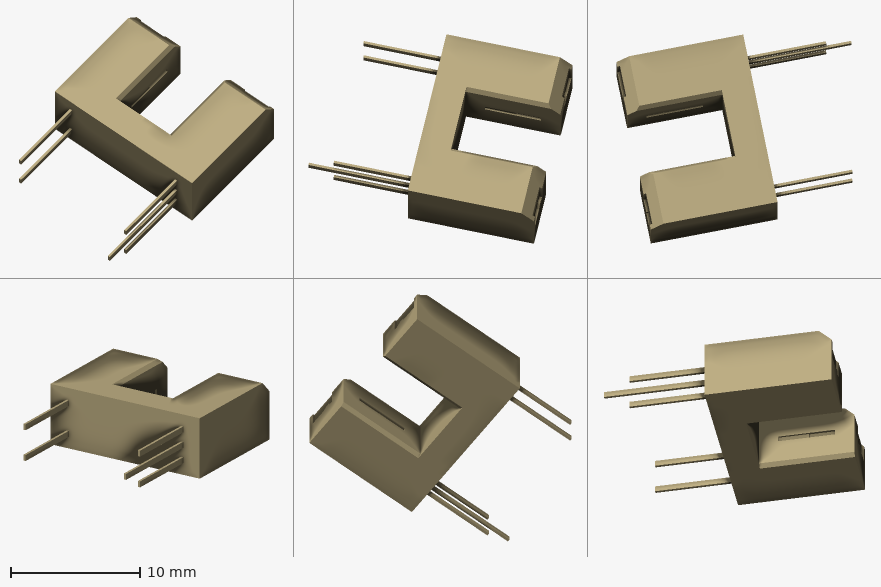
import cadquery as cq

overall_length = 18.2
body_width = 13.7
body_height = 5.0

long_pin_length = 8.2
body_length = overall_length - long_pin_length
gap_width = 5.0
gap_depth = 7.5
tip_chamfer = 1.0
gap_chamfer = 0.3
half_width = body_width / 2
half_gap = gap_width / 2
mid_height = body_height / 2

pin_thickness = 0.2
pin_height = 0.5
short_pin_length = 6.2
pin_span = 10.5
pin_pitch = 1.27
pin_root = 0.18

slit_height = 0.45
slit_tip_margin = 1.53
slit_length = gap_depth - 2 * slit_tip_margin
slit_depth = 0.13
slit_deep_length = 2.05
slit_deep_depth = 0.18

recess_width = 2.48
recess_depth = 0.2
recess_outer_margin = 0.4
recess_floor_z = mid_height
bump_offset = 1.38
bump_width = 0.75
bump_flat_width = 0.36
bump_height = 0.25


def make_housing():
    """U-shaped block with chamfered arm tips and chamfered gap edges, top and bottom."""
    side_profile = [
        (0, 0),
        (body_length, 0),
        (body_length, body_height - tip_chamfer),
        (body_length - tip_chamfer, body_height),
        (0, body_height),
    ]
    block = cq.Workplane("YZ").polyline(side_profile).close().extrude(half_width, both=True)

    half_gap_mouth = half_gap + gap_chamfer
    gap_profile = [
        (-half_gap, gap_chamfer),
        (-half_gap_mouth, 0),
        (half_gap_mouth, 0),
        (half_gap, gap_chamfer),
        (half_gap, body_height - gap_chamfer),
        (half_gap_mouth, body_height),
        (-half_gap_mouth, body_height),
        (-half_gap, body_height - gap_chamfer),
    ]
    gap = (
        cq.Workplane("XZ", origin=(0, body_length, 0))
        .polyline(gap_profile)
        .close()
        .extrude(gap_depth)
    )
    return block.cut(gap)


def make_pin(x, z, length):
    """Flat pin projecting from the back face, rooted slightly inside the housing."""
    return (
        cq.Workplane("XY")
        .box(pin_thickness, length + pin_root, pin_height, centered=(True, False, True))
        .translate((x, -length, z))
    )


def make_slit_cutter(length, depth):
    """Bar across the gap that cuts a matching slit of the given depth into both facing walls."""
    return (
        cq.Workplane("XY")
        .box(gap_width + 2 * depth, length, slit_height)
        .translate((0, body_length - slit_tip_margin - length / 2, mid_height))
    )


def make_tip_recess(side):
    """Recess cutter for one arm tip (side is -1 or 1).

    The recess floor carries a low bump with a flat top and a ramp down towards +X on both arms.
    """
    outer_x = half_width - recess_outer_margin
    recess_x = side * (outer_x - recess_width / 2)
    left_x = recess_x - recess_width / 2
    right_x = recess_x + recess_width / 2
    bump_x = side * (outer_x - bump_offset - bump_width / 2)
    bump_left_x = bump_x - bump_width / 2
    bump_right_x = bump_x + bump_width / 2
    bump_top_z = recess_floor_z + bump_height
    profile = [
        (left_x, body_height),
        (left_x, recess_floor_z),
        (bump_left_x, recess_floor_z),
        (bump_left_x, bump_top_z),
        (bump_left_x + bump_flat_width, bump_top_z),
        (bump_right_x, recess_floor_z),
        (right_x, recess_floor_z),
        (right_x, body_height),
    ]
    return (
        cq.Workplane("XZ", origin=(0, body_length, 0))
        .polyline(profile)
        .close()
        .extrude(recess_depth)
    )


result = make_housing()
result = result.cut(make_slit_cutter(slit_length, slit_depth))
result = result.cut(make_slit_cutter(slit_deep_length, slit_deep_depth))

for side in (-1, 1):
    result = result.cut(make_tip_recess(side))
    for level in (-1, 1):
        pin_z = mid_height + level * pin_pitch
        result = result.union(make_pin(side * pin_span / 2, pin_z, short_pin_length))

result = result.union(make_pin(pin_span / 2, mid_height, long_pin_length))